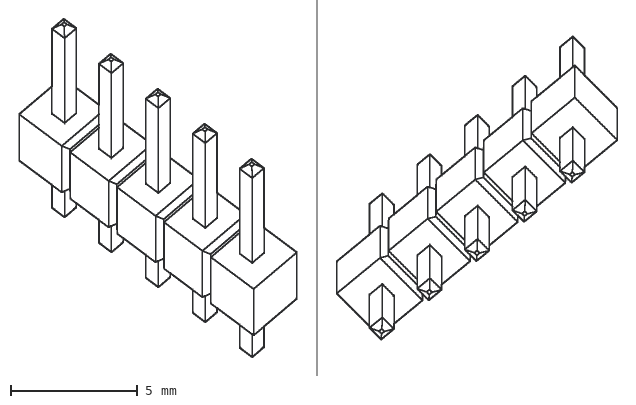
import cadquery as cq

pin_count = 5
housing_length = 12.7
pitch = housing_length / pin_count
first_pin_x = -housing_length / 2 + pitch / 2

housing_depth = 2.5
housing_height = 3.02
groove_depth = 0.23

pin_width = 0.69
pin_length = 12.2
pin_below = 3.39
tip_height = 0.27
tip_width = pin_width - 2 * tip_height


def make_pin_hole(x):
    """Square through hole that a pin fills exactly."""
    return (
        cq.Workplane("XY")
        .center(x, 0)
        .rect(pin_width, pin_width)
        .extrude(housing_height)
    )


def make_cell_joint(x):
    """Band removed between two cells, leaving a neck with 45 degree shoulders on all four sides."""
    band = (
        cq.Workplane("XY")
        .box(2 * groove_depth, housing_depth, housing_height, centered=(True, True, False))
        .translate((x, 0, 0))
    )
    for side in (-1, 1):
        shoulder = (
            cq.Workplane("YZ", origin=(x + side * groove_depth, 0, housing_height / 2))
            .rect(housing_depth, housing_height)
            .workplane(offset=-side * groove_depth)
            .rect(housing_depth - 2 * groove_depth, housing_height - 2 * groove_depth)
            .loft(ruled=True)
        )
        band = band.cut(shoulder)
    return band


def make_housing(pin_positions):
    """Block with a V groove around it between neighbouring cells and a hole for each pin."""
    block = cq.Workplane("XY").box(
        housing_length, housing_depth, housing_height, centered=(True, True, False)
    )
    for x in pin_positions[:-1]:
        block = block.cut(make_cell_joint(x + pitch / 2))
    for x in pin_positions:
        block = block.cut(make_pin_hole(x))
    return block


def make_tip(x, base_z, height):
    """Blunt pyramid from the full pin width at base_z; a negative height points down."""
    return (
        cq.Workplane("XY", origin=(x, 0, base_z))
        .rect(pin_width, pin_width)
        .workplane(offset=height)
        .rect(tip_width, tip_width)
        .loft(ruled=True)
    )


def make_pin(x):
    """Square pin with a blunt pyramid tip at each end."""
    bottom = -pin_below
    top = bottom + pin_length
    shank = (
        cq.Workplane("XY", origin=(x, 0, bottom + tip_height))
        .rect(pin_width, pin_width)
        .extrude(pin_length - 2 * tip_height)
    )
    lower_tip = make_tip(x, bottom + tip_height, -tip_height)
    upper_tip = make_tip(x, top - tip_height, tip_height)
    return shank.union(lower_tip).union(upper_tip)


pin_positions = [first_pin_x + i * pitch for i in range(pin_count)]
housing = make_housing(pin_positions)
pins = [make_pin(x) for x in pin_positions]

result = cq.Compound.makeCompound([housing.val(), *[pin.val() for pin in pins]])